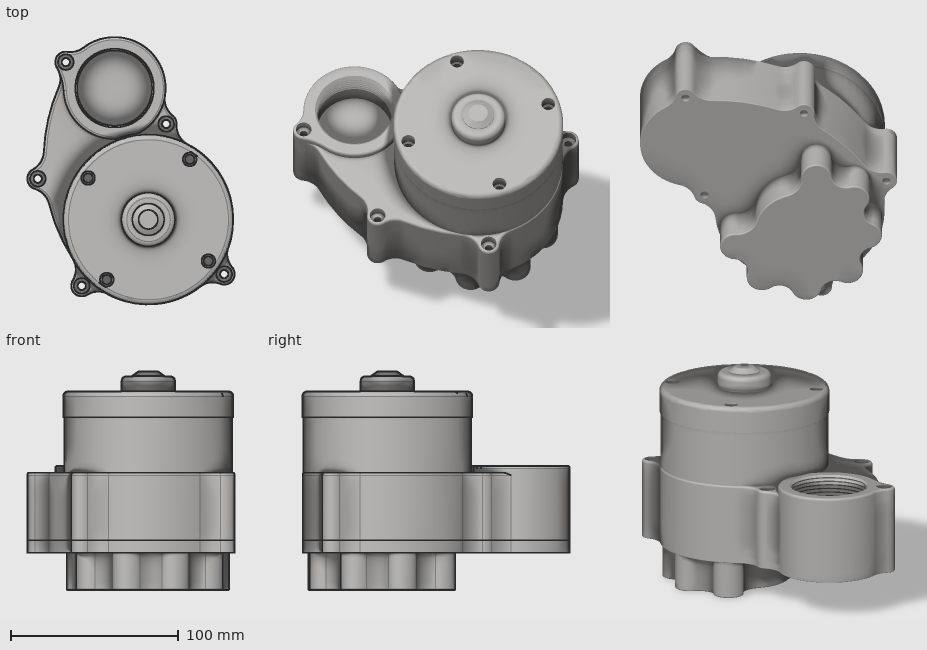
import cadquery as cq
import math


plate_thickness = 7.6
plate_edge_round = 0.5
housing_top = 48.0
pad_top = 52.0
motor_top = 81.0
cap_top = 96.4
hub_top = 105.4
shaft_top = 108.33
gearbox_bottom = -22.2

motor_center = (0, 0)
motor_lobe_radius = 50.6
port_center = (-20.1, 78.4)
port_lobe_radius = 30.5
flank_center = (46.2, 35.6)
flank_radius = 108.7
ear_radius = 6.3
ear_blend = 12.5
port_ear = (-49.2, 93.9)
right_ear = (10.7, 57.0)
left_ear = (-65.9, 24.3)
lower_left_ear = (-39.7, -39.6)
lower_right_ear = (45.3, -32.6)
ears = [port_ear, right_ear, left_ear, lower_left_ear, lower_right_ear]
housing_edge_round = 1.5

pad_blend = 30.0
motor_clearance_radius = 51.8

thread_minor_radius = 22.4
thread_major_radius = 23.5
thread_pitch = 2.2
thread_turns = 7
port_depth = 26.0

screw_radius = 2.4
screw_head_radius = 4.7
screw_head_depth = 6.0

gearbox_lobe_radius = 9.1
gearbox_lobe_circle = 40.0
gearbox_lobe_pitch = 40.0
gearbox_first_lobe = 172.0
gearbox_lobe_count = 7
gearbox_blend = 8.7
gearbox_core_radius = 27.0
gearbox_core_blend = 12.0
gearbox_edge_round = 0.9

motor_radius = 50.25
cap_radius = 50.75
cap_edge_round = 3.0
hub_radius = 16.0
hub_edge_round = 3.0
hub_root_round = 0.7
cap_screw_circle = 43.6
cap_screw_angle = 55.4
cap_screw_count = 4
cap_screw_radius = 2.8
cap_screw_head_radius = 4.1
cap_screw_head_depth = 8.0
shaft_radius = 9.5
shaft_tip_radius = 5.7
shaft_step = 0.4


def point_toward(start, end, distance):
    """The point at a distance from start, on the line to end."""
    share = distance / math.dist(start, end)
    return (start[0] + share * (end[0] - start[0]), start[1] + share * (end[1] - start[1]))


def blend_center(first, second, blend):
    """Center of the hollow arc right of the way from one disc to the next, touching both."""
    (first_center, first_radius), (second_center, second_radius) = first, second
    span = math.dist(first_center, second_center)
    to_first = first_radius + blend
    to_second = second_radius + blend
    along = (span**2 + to_first**2 - to_second**2) / (2 * span)
    aside = math.sqrt(to_first**2 - along**2)
    ux = (second_center[0] - first_center[0]) / span
    uy = (second_center[1] - first_center[1]) / span
    return (first_center[0] + along * ux + aside * uy, first_center[1] + along * uy - aside * ux)


def disc_chain(discs, blends):
    """Closed outline around discs listed counterclockwise; blends[i] follows discs[i]."""
    arcs = []
    for i, (disc, blend) in enumerate(zip(discs, blends)):
        following = discs[(i + 1) % len(discs)]
        center = blend_center(disc, following, blend)
        leave = point_toward(disc[0], center, disc[1])
        arrive = point_toward(following[0], center, following[1])
        halfway = ((leave[0] + arrive[0]) / 2, (leave[1] + arrive[1]) / 2)
        arcs.append((leave, point_toward(center, halfway, blend), arrive))

    outline = cq.Workplane("XY").moveTo(*arcs[-1][2])
    for i, (center, radius) in enumerate(discs):
        arrive = arcs[i - 1][2]
        leave, blend_middle, blend_end = arcs[i]
        start_angle = math.atan2(arrive[1] - center[1], arrive[0] - center[0])
        end_angle = math.atan2(leave[1] - center[1], leave[0] - center[0])
        half_sweep = ((end_angle - start_angle) % math.tau) / 2
        disc_middle = (
            center[0] + radius * math.cos(start_angle + half_sweep),
            center[1] + radius * math.sin(start_angle + half_sweep),
        )
        outline = outline.threePointArc(disc_middle, leave).threePointArc(blend_middle, blend_end)
    return outline.close()


def cylinder(center, radius, bottom, top):
    return cq.Workplane("XY", origin=(*center, bottom)).circle(radius).extrude(top - bottom)


motor_disc = (motor_center, motor_lobe_radius)
port_disc = (port_center, port_lobe_radius)
flank_disc = (flank_center, flank_radius)


def housing_outline():
    discs = [
        port_disc,
        (port_ear, ear_radius),
        flank_disc,
        (left_ear, ear_radius),
        flank_disc,
        (lower_left_ear, ear_radius),
        motor_disc,
        (lower_right_ear, ear_radius),
        motor_disc,
        (right_ear, ear_radius),
    ]
    return disc_chain(discs, [ear_blend] * len(discs))


def make_pad():
    discs = [port_disc, (port_ear, ear_radius)]
    pad = disc_chain(discs, [ear_blend, pad_blend]).extrude(pad_top - plate_thickness)
    pad = pad.translate((0, 0, plate_thickness))
    pad = pad.cut(cylinder(motor_center, motor_clearance_radius, housing_top, pad_top))
    return pad.faces(">Z").edges().fillet(housing_edge_round)


def make_port():
    """Bore of the port with its thread as stacked V grooves."""
    bore_bottom = pad_top - port_depth
    bore = cylinder(port_center, thread_minor_radius, bore_bottom, pad_top)
    for turn in range(thread_turns):
        middle = pad_top - turn * thread_pitch
        groove = (
            cq.Workplane("XZ")
            .moveTo(0, middle - thread_pitch / 2)
            .lineTo(thread_minor_radius, middle - thread_pitch / 2)
            .lineTo(thread_major_radius, middle)
            .lineTo(thread_minor_radius, middle + thread_pitch / 2)
            .lineTo(0, middle + thread_pitch / 2)
            .close()
            .revolve(360, (0, 0), (0, 1))
        )
        bore = bore.union(groove.translate((*port_center, 0)))
    return bore


def make_housing():
    body = housing_outline().extrude(housing_top - plate_thickness)
    body = body.translate((0, 0, plate_thickness))
    body = body.faces(">Z").edges().fillet(housing_edge_round)
    body = body.union(make_pad()).cut(make_port())
    for ear in ears:
        seat = pad_top if ear == port_ear else housing_top
        body = body.cut(cylinder(ear, screw_radius, plate_thickness, seat))
        body = body.cut(cylinder(ear, screw_head_radius, seat - screw_head_depth, seat))
    return body


def make_gearbox():
    discs = []
    for i in range(gearbox_lobe_count):
        angle = math.radians(gearbox_first_lobe + i * gearbox_lobe_pitch)
        center = (gearbox_lobe_circle * math.cos(angle), gearbox_lobe_circle * math.sin(angle))
        discs.append((center, gearbox_lobe_radius))
    blends = [gearbox_blend] * (gearbox_lobe_count - 1) + [gearbox_core_blend] * 2
    discs.append((motor_center, gearbox_core_radius))
    gearbox = disc_chain(discs, blends).extrude(-gearbox_bottom)
    gearbox = gearbox.translate((0, 0, gearbox_bottom))
    return gearbox.faces("<Z").edges().fillet(gearbox_edge_round)


def make_cover():
    plate = housing_outline().extrude(plate_thickness)
    plate = plate.faces("<Z").edges().fillet(plate_edge_round)
    cover = plate.union(make_gearbox())
    for ear in ears:
        cover = cover.cut(cylinder(ear, screw_radius, 0, plate_thickness))
    return cover


def make_motor():
    return cylinder(motor_center, motor_radius, housing_top, motor_top)


def make_cap():
    hub_edge = hub_radius - hub_edge_round
    hub_root = hub_radius + hub_root_round
    cap_edge = cap_radius - cap_edge_round
    diagonal = math.sqrt(0.5)
    cap = (
        cq.Workplane("XZ")
        .moveTo(shaft_radius, motor_top)
        .lineTo(cap_radius, motor_top)
        .lineTo(cap_radius, cap_top - cap_edge_round)
        .threePointArc(
            (cap_edge + diagonal * cap_edge_round, cap_top - (1 - diagonal) * cap_edge_round),
            (cap_edge, cap_top),
        )
        .lineTo(hub_root, cap_top)
        .threePointArc(
            (hub_root - diagonal * hub_root_round, cap_top + (1 - diagonal) * hub_root_round),
            (hub_radius, cap_top + hub_root_round),
        )
        .lineTo(hub_radius, hub_top - hub_edge_round)
        .threePointArc(
            (hub_edge + diagonal * hub_edge_round, hub_top - (1 - diagonal) * hub_edge_round),
            (hub_edge, hub_top),
        )
        .lineTo(shaft_radius, hub_top)
        .close()
        .revolve(360, (0, 0), (0, 1))
    )
    for i in range(cap_screw_count):
        angle = math.radians(cap_screw_angle + i * 360 / cap_screw_count)
        center = (cap_screw_circle * math.cos(angle), cap_screw_circle * math.sin(angle))
        cap = cap.cut(cylinder(center, cap_screw_radius, motor_top, cap_top))
        cap = cap.cut(cylinder(center, cap_screw_head_radius, cap_top - cap_screw_head_depth, cap_top))
    return cap


def make_shaft():
    tip_bottom = hub_top + shaft_step
    return (
        cq.Workplane("XZ")
        .moveTo(0, motor_top)
        .lineTo(shaft_radius, motor_top)
        .lineTo(shaft_radius, tip_bottom)
        .lineTo(shaft_tip_radius, shaft_top)
        .lineTo(0, shaft_top)
        .close()
        .revolve(360, (0, 0), (0, 1))
    )


housing = make_housing()
cover = make_cover()
motor = make_motor()
cap = make_cap()
shaft = make_shaft()

result = cq.Compound.makeCompound(
    [housing.val(), cover.val(), motor.val(), cap.val(), shaft.val()]
)